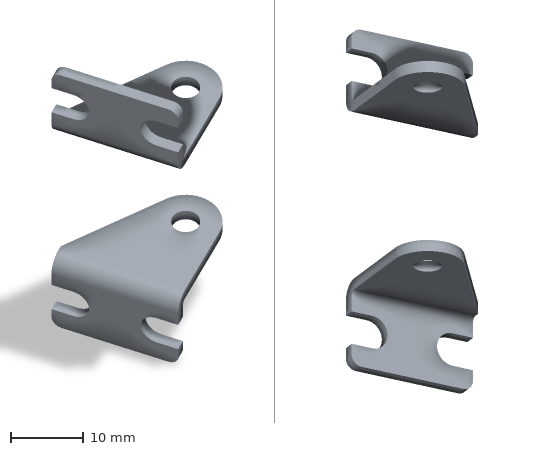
import cadquery as cq
import math

width = 19.05
depth = 19.4
total_height = 50.8
flange_height = 12.75

thickness = 1.7
bend_outer_radius = 2.4
bend_inner_radius = bend_outer_radius - thickness

ear_radius = 5.1
hole_diameter = 4.0
ear_left_side = 3.15

corner_radius = 1.5
slot_width = 4.9
slot_depth = 5.65
slot_from_edge = 5.6

left = -width / 2
right = width / 2
top = total_height / 2
bottom = top - flange_height
eye_x = right - ear_radius
eye_y = depth - ear_radius
slot_z = top - slot_from_edge


def bent_sheet():
    """L-shaped sheet with a rounded bend, extruded over the full width."""
    legs = (
        cq.Workplane("YZ", origin=(left, 0, 0))
        .moveTo(0, top)
        .lineTo(0, bottom)
        .lineTo(depth, bottom)
        .lineTo(depth, bottom + thickness)
        .lineTo(thickness, bottom + thickness)
        .lineTo(thickness, top)
        .close()
        .extrude(width)
    )
    outer_bend = cq.selectors.NearestToPointSelector((0, 0, bottom))
    inner_bend = cq.selectors.NearestToPointSelector((0, thickness, bottom + thickness))
    legs = legs.edges("|X").edges(outer_bend).fillet(bend_outer_radius)
    return legs.edges("|X").edges(inner_bend).fillet(bend_inner_radius)


def ear_outline():
    """Prism of the plan outline: a straight side, a round end and a tangent slope."""
    run = eye_x - left
    rise = eye_y - ear_left_side
    direction_to_corner = math.atan2(-rise, -run)
    tangent_angle = direction_to_corner - math.acos(ear_radius / math.hypot(run, rise))
    tangent_point = (
        eye_x + ear_radius * math.cos(tangent_angle),
        eye_y + ear_radius * math.sin(tangent_angle),
    )
    return (
        cq.Workplane("XY", origin=(0, 0, bottom))
        .moveTo(left, 0)
        .lineTo(right, 0)
        .lineTo(right, eye_y)
        .threePointArc((eye_x, depth), tangent_point)
        .lineTo(left, ear_left_side)
        .close()
        .extrude(flange_height)
    )


def eye_hole():
    """Round hole through the ear, concentric with its round end."""
    return (
        cq.Workplane("XY", origin=(eye_x, eye_y, bottom))
        .circle(hole_diameter / 2)
        .extrude(thickness)
    )


def flange_slot(side):
    """Round-ended slot, open at the left (side = -1) or right (side = 1) edge."""
    return (
        cq.Workplane("XZ", origin=(side * width / 2, 0, slot_z))
        .slot2D(2 * slot_depth, slot_width)
        .extrude(-thickness)
    )


def bracket():
    """Upper bracket: ear at the bottom, flange pointing up."""
    body = bent_sheet().intersect(ear_outline()).cut(eye_hole())
    body = body.edges("|Y").edges(">Z").fillet(corner_radius)
    for side in (-1, 1):
        body = body.cut(flange_slot(side))
    return body


upper_bracket = bracket()
brackets = [upper_bracket, upper_bracket.mirror("XY")]

result = cq.Compound.makeCompound([body.val() for body in brackets])